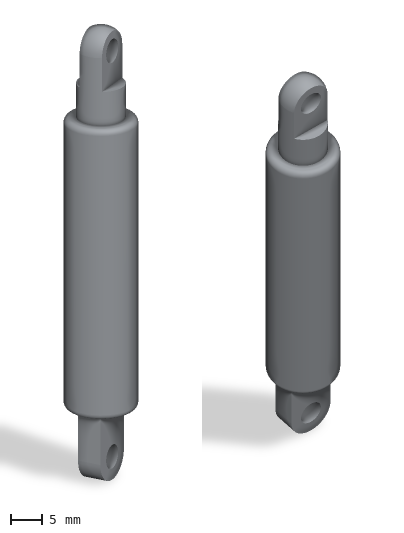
import cadquery as cq

total_length = 77.85
barrel_diameter = 11.9
barrel_length = 50.0
barrel_edge_radius = 0.9

eye_width = 7.95
eye_radius = eye_width / 2
eye_thickness = 4.05
pin_hole_diameter = 4.05

lower_eye_length = 12.2
rod_shoulder_height = 5.8

lower_hole_z = eye_radius
barrel_bottom_z = lower_eye_length
barrel_top_z = barrel_bottom_z + barrel_length
rod_shoulder_z = barrel_top_z + rod_shoulder_height
upper_hole_z = total_length - eye_radius


def pin_hole(center_z):
    """Cutter along X for the pin hole of an eye."""
    return (
        cq.Workplane("YZ")
        .center(0, center_z)
        .circle(pin_hole_diameter / 2)
        .extrude(eye_thickness, both=True)
    )


def make_housing():
    """Round-edged barrel with a flat, round-ended eye below it."""
    barrel = (
        cq.Workplane("XY", origin=(0, 0, barrel_bottom_z))
        .circle(barrel_diameter / 2)
        .extrude(barrel_length)
        .edges("%CIRCLE")
        .fillet(barrel_edge_radius)
    )
    eye = (
        cq.Workplane("YZ")
        .moveTo(-eye_radius, barrel_bottom_z)
        .lineTo(-eye_radius, lower_hole_z)
        .threePointArc((0, 0), (eye_radius, lower_hole_z))
        .lineTo(eye_radius, barrel_bottom_z)
        .close()
        .extrude(eye_thickness / 2, both=True)
    )
    return barrel.union(eye).cut(pin_hole(lower_hole_z))


def make_rod():
    """Domed rod standing on the barrel, flattened on both sides into an eye."""
    dome = cq.Workplane("XY", origin=(0, 0, upper_hole_z)).sphere(eye_radius)
    rod = (
        cq.Workplane("XY", origin=(0, 0, barrel_top_z))
        .circle(eye_radius)
        .extrude(upper_hole_z - barrel_top_z)
        .union(dome)
    )
    flat_offset = (eye_thickness + eye_width) / 2
    flat_height = total_length - rod_shoulder_z
    flats = (
        cq.Workplane("XY", origin=(0, 0, rod_shoulder_z))
        .pushPoints([(-flat_offset, 0), (flat_offset, 0)])
        .rect(eye_width, eye_width)
        .extrude(flat_height)
    )
    return rod.cut(flats).cut(pin_hole(upper_hole_z))


housing = make_housing()
rod = make_rod()

result = cq.Compound.makeCompound([housing.solids().val(), rod.solids().val()])